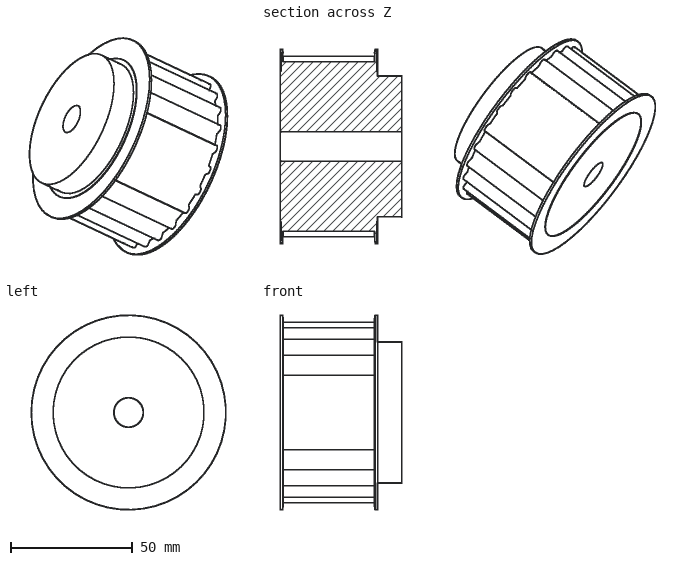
import cadquery as cq
import math

rim_width = 40.0
hub_length = 10.0
hub_radius = 29.0
bore_radius = 6.0

flange_radius = 40.0
flange_bend_radius = 38.5
flange_seat_radius = 31.0
flange_thickness = 1.0
flange_bend_angle = 10.0

tooth_count = 24
tip_radius = 37.4
groove_depth = 2.5
groove_floor_width = 5.3
groove_flank_angle = 22.5
tip_fillet = 1.2
root_fillet = 0.5

root_radius = tip_radius - groove_depth
tooth_pitch_angle = 360 / tooth_count
overall_length = rim_width + hub_length
rim_start_x = -overall_length / 2
rim_end_x = rim_start_x + rim_width
flange_bend_offset = (flange_radius - flange_bend_radius) * math.tan(math.radians(flange_bend_angle))

X_AXIS = ((0, 0, 0), (1, 0, 0))


def disc(start_x, length, radius):
    """Solid cylinder along X."""
    return cq.Workplane("YZ").workplane(offset=start_x).circle(radius).extrude(length)


def groove_cutter():
    """One sharp-edged groove pointing to +Z: a wedge whose floor lies on the root cylinder."""
    overshoot = 1.0
    slope = math.tan(math.radians(groove_flank_angle))
    low = root_radius - overshoot
    high = tip_radius + overshoot
    low_half = groove_floor_width / 2 - overshoot * slope
    high_half = groove_floor_width / 2 + (high - root_radius) * slope
    outline = [(-low_half, low), (low_half, low), (high_half, high), (-high_half, high)]
    wedge = cq.Workplane("YZ").workplane(offset=rim_start_x).polyline(outline).close().extrude(rim_width)
    return wedge.cut(disc(rim_start_x, rim_width, root_radius))


def lengthwise_edges(rim, radius):
    """Edges parallel to X that lie at the given distance from the axis."""
    tolerance = 0.01

    def lies_at_radius(edge):
        center = edge.Center()
        return abs(math.hypot(center.y, center.z) - radius) < tolerance

    return rim.edges("|X").filter(lies_at_radius)


def toothed_rim():
    """Grooved cylinder with rounded tooth tips and groove roots."""
    rim = disc(rim_start_x, rim_width, tip_radius)
    groove = groove_cutter()
    for index in range(tooth_count):
        rim = rim.cut(groove.rotate(*X_AXIS, index * tooth_pitch_angle))

    rim = lengthwise_edges(rim, tip_radius).fillet(tip_fillet)
    return lengthwise_edges(rim, root_radius).fillet(root_fillet)


def flange(end_x, inward):
    """Flange ring at a rim end; inward is the X direction towards the teeth."""
    outer_x = end_x + inward * flange_bend_offset
    inner_x = outer_x + inward * flange_thickness
    rim_inner_x = end_x + inward * flange_thickness
    profile = [
        (outer_x, flange_seat_radius),
        (outer_x, flange_bend_radius),
        (end_x, flange_radius),
        (rim_inner_x, flange_radius),
        (inner_x, flange_bend_radius),
        (inner_x, flange_seat_radius),
    ]
    return cq.Workplane("XY").polyline(profile).close().revolve(360, *X_AXIS)


def seated_rim():
    """Toothed rim shortened outside the flange seats, so a shallow round face stands proud at each end."""
    toothed_length = rim_width - 2 * flange_bend_offset
    toothed_envelope = disc(rim_start_x + flange_bend_offset, toothed_length, tip_radius)
    core = disc(rim_start_x, rim_width, flange_seat_radius)
    return toothed_rim().intersect(toothed_envelope).union(core)


def pulley():
    """Complete pulley: rim, two flanges, hub and through bore."""
    body = seated_rim()
    body = body.union(flange(rim_start_x, 1))
    body = body.union(flange(rim_end_x, -1))
    body = body.union(disc(rim_end_x, hub_length, hub_radius))
    return body.cut(disc(rim_start_x, overall_length, bore_radius))


result = pulley()